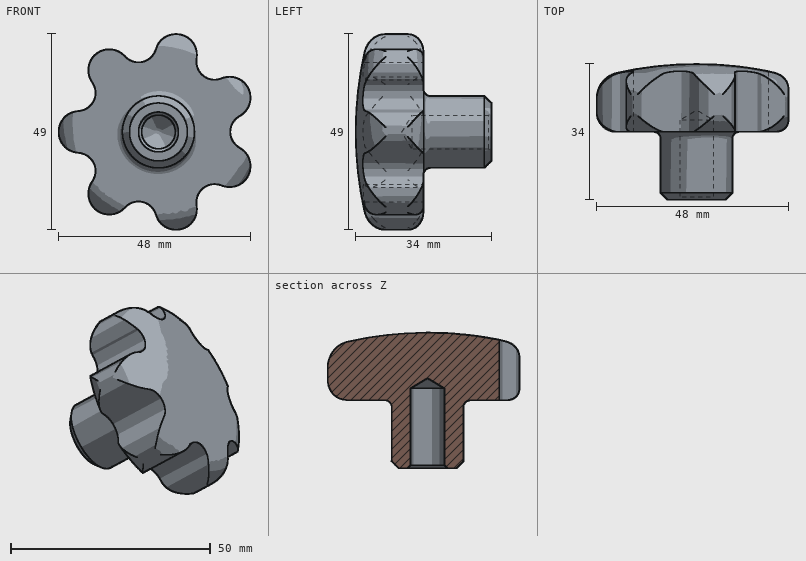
import cadquery as cq
import math


lobe_count = 7
head_radius = 25.0
head_height = 17.0
dome_radius = 90.15
front_rim_radius = 5.0
rim_band_width = 3.35
lobe_radius = 5.25
valley_depth_radius = 18.0
valley_radius = 4.5

stem_length = 17.0
stem_radius = 9.0
stem_chamfer = 1.75
root_fillet = 1.7

bore_radius = 4.2
bore_mouth_radius = 5.0
bore_depth = 20.0
drill_point_angle = 118.0


def polar(radius, angle):
    return radius * math.cos(angle), radius * math.sin(angle)


def offset(point, distance, angle):
    dx, dy = polar(distance, angle)
    return point[0] + dx, point[1] + dy


def turned_body():
    """Head and stem revolved as one, with rounded rim, dome and chamfered stem end."""
    dome_center_y = head_height - dome_radius
    rear_arc_y = front_rim_radius + rim_band_width
    rise = rear_arc_y - dome_center_y
    rear_rim_radius = (dome_radius**2 - head_radius**2 - rise**2) / (2 * (dome_radius - head_radius))
    rear_arc_center = (head_radius - rear_rim_radius, rear_arc_y)
    dome_edge_angle = math.atan2(rise, rear_arc_center[0])
    dome_edge = offset((0, dome_center_y), dome_radius, dome_edge_angle)
    rear_arc_mid = offset(rear_arc_center, rear_rim_radius, dome_edge_angle / 2)
    dome_mid = offset((0, dome_center_y), dome_radius, (dome_edge_angle + math.pi / 2) / 2)

    front_arc_center = (head_radius - front_rim_radius, front_rim_radius)
    front_arc_mid = offset(front_arc_center, front_rim_radius, -math.pi / 4)
    root_center = (stem_radius + root_fillet, -root_fillet)
    root_mid = offset(root_center, root_fillet, 3 * math.pi / 4)

    return (
        cq.Workplane("XY")
        .moveTo(0, -stem_length)
        .lineTo(stem_radius - stem_chamfer, -stem_length)
        .lineTo(stem_radius, -stem_length + stem_chamfer)
        .lineTo(stem_radius, -root_fillet)
        .threePointArc(root_mid, (root_center[0], 0))
        .lineTo(front_arc_center[0], 0)
        .threePointArc(front_arc_mid, (head_radius, front_rim_radius))
        .lineTo(head_radius, rear_arc_y)
        .threePointArc(rear_arc_mid, dome_edge)
        .threePointArc(dome_mid, (0, head_height))
        .close()
        .revolve(360, (0, 0, 0), (0, 1, 0))
    )


def lobed_prism():
    """Lobe and valley arcs joined by short tangent lines, spanning the whole knob length."""
    pitch = 2 * math.pi / lobe_count
    lobe_distance = head_radius - lobe_radius
    valley_distance = valley_depth_radius + valley_radius

    valley_x, valley_y = polar(valley_distance, pitch / 2)
    gap_x = valley_x - lobe_distance
    center_gap = math.hypot(gap_x, valley_y)
    tangent_swing = math.acos((lobe_radius + valley_radius) / center_gap)
    normal_angle = math.atan2(valley_y, gap_x) - tangent_swing

    first_angle = math.pi
    first_center = polar(lobe_distance, first_angle)
    outline = cq.Workplane("XZ").moveTo(*offset(first_center, lobe_radius, first_angle - normal_angle))
    for index in range(lobe_count):
        lobe_angle = first_angle + index * pitch
        valley_angle = lobe_angle + pitch / 2
        next_angle = lobe_angle + pitch
        lobe_center = polar(lobe_distance, lobe_angle)
        valley_center = polar(valley_distance, valley_angle)
        next_center = polar(lobe_distance, next_angle)
        lobe_end = offset(lobe_center, lobe_radius, lobe_angle + normal_angle)
        valley_start = offset(valley_center, -valley_radius, lobe_angle + normal_angle)
        valley_end = offset(valley_center, -valley_radius, next_angle - normal_angle)
        outline = (
            outline.threePointArc(polar(head_radius, lobe_angle), lobe_end)
            .lineTo(*valley_start)
            .threePointArc(polar(valley_depth_radius, valley_angle), valley_end)
        )
        if index < lobe_count - 1:
            outline = outline.lineTo(*offset(next_center, lobe_radius, next_angle - normal_angle))
    return outline.close().extrude(stem_length + head_height, both=True)


def bore():
    """Blind drilled hole with a 45 degree mouth chamfer and a conical bottom."""
    mouth_chamfer = bore_mouth_radius - bore_radius
    point_length = bore_radius / math.tan(math.radians(drill_point_angle / 2))
    bottom_y = bore_depth - stem_length
    return (
        cq.Workplane("XY")
        .moveTo(0, -stem_length)
        .lineTo(bore_mouth_radius, -stem_length)
        .lineTo(bore_radius, -stem_length + mouth_chamfer)
        .lineTo(bore_radius, bottom_y)
        .lineTo(0, bottom_y + point_length)
        .close()
        .revolve(360, (0, 0, 0), (0, 1, 0))
    )


result = turned_body().intersect(lobed_prism()).cut(bore())